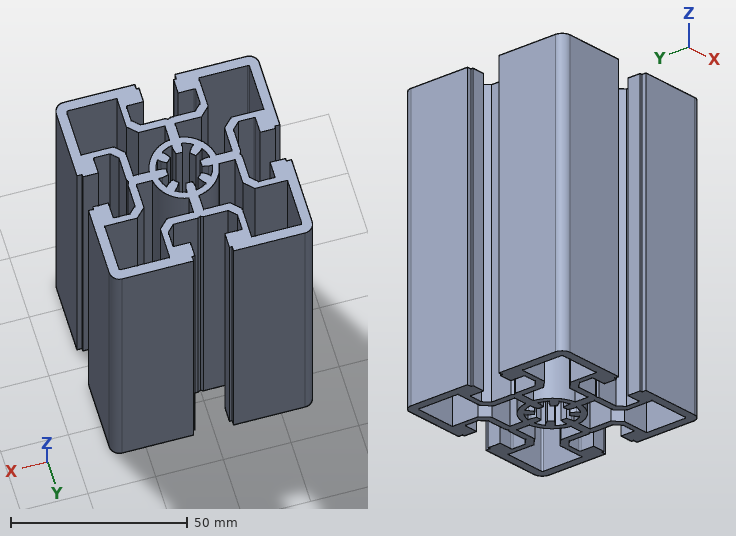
import cadquery as cq
import math

side = 60.0
length = 100.0
corner_radius = 3.0
half_side = side / 2

slot_count = 4
mouth_half_width = 5.9
mouth_step_depth = 1.5
lip_half_gap = 5.1
lip_depth = 6.1
slot_half_width = 10.2
slot_depth = 13.1
slot_chamfer = 2.1
lip_corner_radius = 0.4
floor_groove_half_width = 0.8
floor_groove_depth = 0.4

outer_wall = 3.0
slot_side_wall = 1.9
slot_floor_wall = 2.3
slot_bevel_wall = 2.5
web_thickness = 3.0
cavity_corner_radius = 0.5

ring_outer_radius = 10.0
ring_inner_radius = 8.0
tooth_count = 8
tooth_tip_radius = 5.0
tooth_taper_radius = 6.8
tooth_half_width = 1.4
tooth_tip_half_width = 1.0


def around_axis(solid, count):
    """Union of count copies of a solid, evenly turned about the Z axis."""
    copies = solid
    for index in range(1, count):
        copies = copies.union(solid.rotate((0, 0, 0), (0, 0, 1), index * 360 / count))
    return copies


def mirrored_prism(right_half):
    """Full-length prism of an outline given by its +X half and mirrored across the YZ plane."""
    left_half = [(-x, y) for x, y in reversed(right_half) if x > 0]
    return cq.Workplane("XY").polyline(right_half + left_half).close().extrude(length)


def make_slot():
    """Empty space of the T-slot on the +Y side."""
    lip_y = half_side - lip_depth
    floor_y = half_side - slot_depth
    step_y = half_side - mouth_step_depth
    slot = mirrored_prism([
        (0, floor_y - floor_groove_depth),
        (floor_groove_half_width, floor_y),
        (slot_half_width - slot_chamfer, floor_y),
        (slot_half_width, floor_y + slot_chamfer),
        (slot_half_width, lip_y),
        (lip_half_gap, lip_y),
        (lip_half_gap, step_y),
        (mouth_half_width, step_y),
        (mouth_half_width, half_side),
    ])
    lip_corners = [(-slot_half_width, lip_y, length / 2), (slot_half_width, lip_y, length / 2)]
    for corner in lip_corners:
        slot = slot.edges(cq.selectors.NearestToPointSelector(corner)).fillet(lip_corner_radius)
    return slot


def make_slot_envelope():
    """Solid block around the +Y slot: the slot's walls before the slot is cut out of them."""
    envelope_half_width = slot_half_width + slot_side_wall
    floor_y = half_side - slot_depth - slot_floor_wall
    slot_bevel_offset = half_side - slot_depth + slot_chamfer - slot_half_width
    bevel_offset = slot_bevel_offset - slot_bevel_wall * math.sqrt(2)
    return mirrored_prism([
        (0, floor_y),
        (floor_y - bevel_offset, floor_y),
        (envelope_half_width, envelope_half_width + bevel_offset),
        (envelope_half_width, half_side),
    ])


def make_outer_frame():
    """Square tube that forms the outer skin."""
    inner_side = side - 2 * outer_wall
    outside = cq.Workplane("XY").rect(side, side).extrude(length)
    inside = cq.Workplane("XY").rect(inner_side, inner_side).extrude(length)
    outside = outside.edges("|Z").fillet(corner_radius)
    inside = inside.edges("|Z").fillet(cavity_corner_radius)
    return outside.cut(inside)


def make_web():
    """Flat web from the ring to the floor of the +Y slot."""
    web_start = (ring_inner_radius + ring_outer_radius) / 2
    web_end = half_side - slot_depth - slot_floor_wall / 2
    return mirrored_prism([(web_thickness / 2, web_start), (web_thickness / 2, web_end)])


def make_tooth():
    """Tooth on the +Y side of the ring, narrowing towards its tip."""
    root = (ring_inner_radius + ring_outer_radius) / 2
    return mirrored_prism([
        (tooth_tip_half_width, tooth_tip_radius),
        (tooth_half_width, tooth_taper_radius),
        (tooth_half_width, root),
    ])


ring = cq.Workplane("XY").circle(ring_outer_radius).circle(ring_inner_radius).extrude(length)

result = (
    make_outer_frame()
    .union(around_axis(make_slot_envelope(), slot_count))
    .union(around_axis(make_web(), slot_count))
    .union(ring)
    .union(around_axis(make_tooth(), tooth_count))
    .cut(around_axis(make_slot(), slot_count))
)